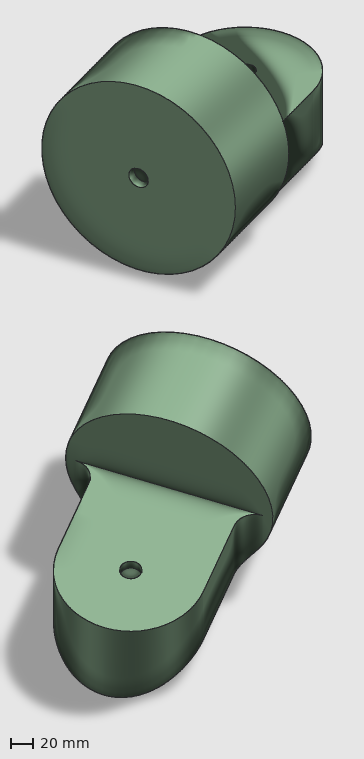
import cadquery as cq

total_length = 270.0
body_diameter = 200.0
arm_width = 140.0
fillet_radius = 20.0
hole_diameter = 20.0
hole_depth = 10.0

body_radius = body_diameter / 2
body_length = body_radius
arm_radius = arm_width / 2
arm_center_y = total_length - arm_radius


def round_bar(length):
    """Cylinder along +Y, starting at the front face."""
    return cq.Workplane("XZ").circle(body_radius).extrude(-length)


def arm_outline():
    """Round-ended arm, flared by concave fillets where it meets the body."""
    flare_half_width = arm_radius + fillet_radius
    flare_end_y = body_length + fillet_radius
    return (
        cq.Workplane("XY")
        .moveTo(-flare_half_width, 0)
        .lineTo(flare_half_width, 0)
        .lineTo(flare_half_width, body_length)
        .radiusArc((arm_radius, flare_end_y), fillet_radius)
        .lineTo(arm_radius, arm_center_y)
        .threePointArc((0, total_length), (-arm_radius, arm_center_y))
        .lineTo(-arm_radius, flare_end_y)
        .radiusArc((-flare_half_width, body_length), fillet_radius)
        .close()
    )


arm = arm_outline().extrude(-body_radius).intersect(round_bar(total_length))
body = round_bar(body_length)

hole_radius = hole_diameter / 2
front_hole = cq.Workplane("XZ").circle(hole_radius).extrude(-hole_depth)
arm_hole = cq.Workplane("XY").center(0, arm_center_y).circle(hole_radius).extrude(-hole_depth)

result = body.union(arm).cut(front_hole).cut(arm_hole)